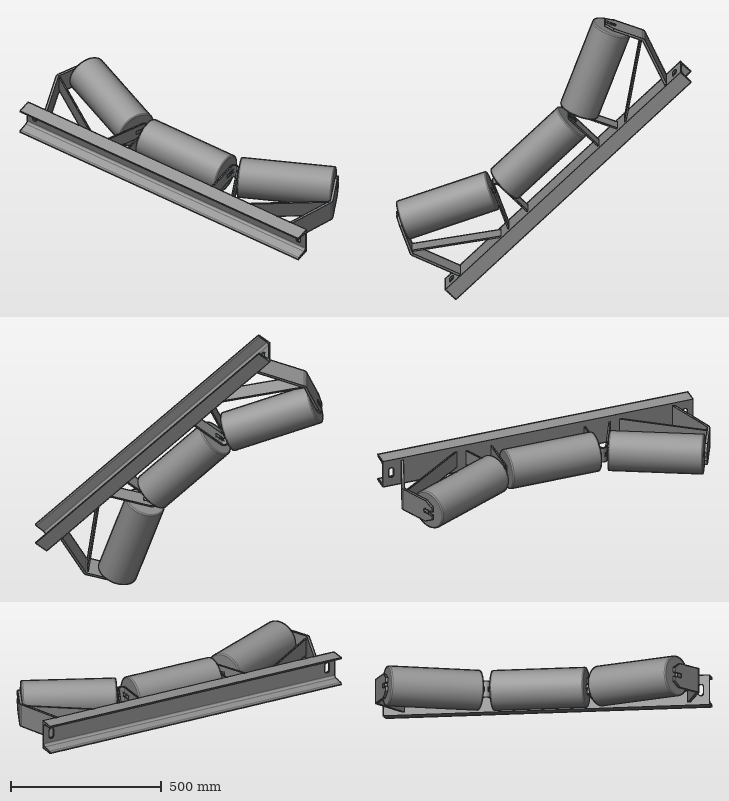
import cadquery as cq
import math

BEAM_LENGTH = 1100.0
BEAM_HEIGHT = 100.0
FLANGE_WIDTH = 50.0
WEB_THICKNESS = 6.0
FLANGE_THICKNESS = 8.5
FLANGE_TAPER = 0.08
ROOT_RADIUS = 8.5
TOE_RADIUS = 4.5
BOLT_SLOT_WIDTH = 18.0
BOLT_SLOT_LENGTH = 38.0
BOLT_SLOT_INSET = 29.0

ROLLER_DIAMETER = 133.0
ROLLER_LENGTH = 315.0
ROLLER_FILLET = 4.0
SHAFT_DIAMETER = 20.0
SHAFT_FLATS = 14.0
SHAFT_LENGTH = 336.0
TROUGH_ANGLE = 25.0
CENTER_ROLLER_Y = 115.5
SIDE_ROLLER_X = 346.0
SIDE_ROLLER_Y = 194.0

OUTER_WIDTH = 80.0
OUTER_PLATE = 8.0
OUTER_GAP = 4.0
OUTER_LEG_ANGLE = 20.0
OUTER_BEND_RADIUS = 17.0
OUTER_BEND_Y = 165.0
OUTER_TIP = 28.0
TIP_CHAMFER_LENGTH = 30.0
TIP_CHAMFER_WIDTH = 17.3
INNER_PLATE = 5.0
INNER_WIDTH = 54.0
INNER_BEND_RADIUS = 15.0
INNER_GAP = 5.5

STRUT_PLATE = 5.0
STRUT_WIDTH = 60.0
STRUT_ANGLE = 35.1

TROUGH = math.radians(TROUGH_ANGLE)

OUTER_FACE_ALONG = ROLLER_LENGTH / 2 + OUTER_GAP + OUTER_PLATE
OUTER_BEND_ALONG = OUTER_FACE_ALONG - OUTER_BEND_RADIUS
OUTER_BEND_OFFSET = (OUTER_BEND_ALONG - (OUTER_BEND_Y - SIDE_ROLLER_Y) * math.sin(TROUGH)) / math.cos(TROUGH)
OUTER_BEND = (SIDE_ROLLER_X + OUTER_BEND_OFFSET, OUTER_BEND_Y)

INNER_BEND_X = ROLLER_LENGTH / 2 + INNER_GAP + INNER_BEND_RADIUS
INNER_BEND = (
    INNER_BEND_X,
    SIDE_ROLLER_Y + (-INNER_BEND_X - (INNER_BEND_X - SIDE_ROLLER_X) * math.cos(TROUGH)) / math.sin(TROUGH),
)


def polar(center, radius, angle):
    """Point at a distance and an angle in degrees from a centre."""
    turn = math.radians(angle)
    return (center[0] + radius * math.cos(turn), center[1] + radius * math.sin(turn))


def down_to_beam(point, angle):
    """Follow a line through the point, at an angle in degrees, to the web face at Y = 0."""
    return (point[0] - point[1] / math.tan(math.radians(angle)), 0)


def place_on_side(body):
    """Move a body from the origin to the axis of the right-hand side roller."""
    tilted = body.rotate((0, 0, 0), (0, 0, 1), TROUGH_ANGLE)
    return tilted.translate((SIDE_ROLLER_X, SIDE_ROLLER_Y, 0))


def make_rod(diameter, length):
    """Round bar along X, centred on the origin."""
    return cq.Workplane("YZ", origin=(-length / 2, 0, 0)).circle(diameter / 2).extrude(length)


def make_beam():
    half = BEAM_HEIGHT / 2
    taper_drop = FLANGE_TAPER * FLANGE_WIDTH / 2
    toe = half - FLANGE_THICKNESS + taper_drop
    root = half - FLANGE_THICKNESS - taper_drop + FLANGE_TAPER * WEB_THICKNESS
    profile = [
        (0, -half),
        (-FLANGE_WIDTH, -half),
        (-FLANGE_WIDTH, -toe),
        (-WEB_THICKNESS, -root),
        (-WEB_THICKNESS, root),
        (-FLANGE_WIDTH, toe),
        (-FLANGE_WIDTH, half),
        (0, half),
    ]
    beam_end = cq.Workplane("YZ", origin=(-BEAM_LENGTH / 2, 0, 0))
    beam = beam_end.polyline(profile).close().extrude(BEAM_LENGTH)
    for side in (-1, 1):
        root_edge = cq.selectors.NearestToPointSelector((0, -WEB_THICKNESS, side * root))
        beam = beam.edges(root_edge).fillet(ROOT_RADIUS)
        toe_edge = cq.selectors.NearestToPointSelector((0, -FLANGE_WIDTH, side * toe))
        beam = beam.edges(toe_edge).fillet(TOE_RADIUS)
    slot_x = BEAM_LENGTH / 2 - BOLT_SLOT_INSET
    slots = (
        cq.Workplane("XZ")
        .pushPoints([(-slot_x, 0), (slot_x, 0)])
        .slot2D(BOLT_SLOT_LENGTH, BOLT_SLOT_WIDTH, 90)
        .extrude(WEB_THICKNESS)
    )
    return beam.cut(slots)


def make_roller():
    """Roller along X, centred on the origin, with flats on its shaft ends."""
    shell = make_rod(ROLLER_DIAMETER, ROLLER_LENGTH).edges("%CIRCLE").fillet(ROLLER_FILLET)
    shaft = make_rod(SHAFT_DIAMETER, SHAFT_LENGTH)
    flats = cq.Workplane("XY").box(SHAFT_LENGTH, SHAFT_DIAMETER, SHAFT_FLATS)
    return shell.union(shaft.intersect(flats))


def make_slot_cutter(depth):
    """Cutter along X that seats the shaft and opens upward over the given depth."""
    length = 2 * OUTER_FACE_ALONG
    seat = make_rod(SHAFT_DIAMETER, length)
    opening = cq.Workplane("XY").box(length, depth, SHAFT_DIAMETER).translate((0, depth / 2, 0))
    flats = cq.Workplane("XY").box(length, 2 * depth, SHAFT_FLATS)
    return seat.union(opening).intersect(flats)


def make_bent_plate(bend, radius, thickness, width, start_angle, end_angle, start_points, end_points):
    """Plate with one bend; the angles are those of the outside normals of its two legs.

    The start and end points are the (outside, inside) corners of the leg ends.
    """
    inside = radius - thickness
    middle = (start_angle + end_angle) / 2
    return (
        cq.Workplane("XY", origin=(0, 0, -width / 2))
        .moveTo(*start_points[0])
        .lineTo(*polar(bend, radius, start_angle))
        .threePointArc(polar(bend, radius, middle), polar(bend, radius, end_angle))
        .lineTo(*end_points[0])
        .lineTo(*end_points[1])
        .lineTo(*polar(bend, inside, end_angle))
        .threePointArc(polar(bend, inside, middle), polar(bend, inside, start_angle))
        .lineTo(*start_points[1])
        .close()
        .extrude(width)
    )


def make_outer_bracket():
    tip_run = (
        OUTER_TIP
        + (OUTER_BEND[0] - SIDE_ROLLER_X) * math.sin(TROUGH)
        - (OUTER_BEND[1] - SIDE_ROLLER_Y) * math.cos(TROUGH)
    )
    tips = []
    feet = []
    for radius in (OUTER_BEND_RADIUS, OUTER_BEND_RADIUS - OUTER_PLATE):
        tips.append(polar(polar(OUTER_BEND, radius, TROUGH_ANGLE), tip_run, TROUGH_ANGLE + 90))
        leg_start = polar(OUTER_BEND, radius, -OUTER_LEG_ANGLE)
        feet.append(down_to_beam(leg_start, 90 - OUTER_LEG_ANGLE))
    plate = make_bent_plate(
        OUTER_BEND, OUTER_BEND_RADIUS, OUTER_PLATE, OUTER_WIDTH,
        TROUGH_ANGLE, -OUTER_LEG_ANGLE, tips, feet,
    )
    half = OUTER_WIDTH / 2
    for side in (-1, 1):
        corner = [
            (OUTER_TIP, side * half),
            (OUTER_TIP - TIP_CHAMFER_LENGTH, side * half),
            (OUTER_TIP, side * (half - TIP_CHAMFER_WIDTH)),
        ]
        wedge = cq.Workplane("YZ").polyline(corner).close().extrude(OUTER_FACE_ALONG)
        plate = plate.cut(place_on_side(wedge))
    return plate.cut(place_on_side(make_slot_cutter(OUTER_TIP)))


def make_inner_bracket():
    """Arch with a sloped leg at the side roller and an upright leg at the centre roller."""
    sloped_feet = []
    upright_feet = []
    for radius in (INNER_BEND_RADIUS, INNER_BEND_RADIUS - INNER_PLATE):
        sloped_feet.append(down_to_beam(polar(INNER_BEND, radius, TROUGH_ANGLE), TROUGH_ANGLE + 90))
        upright_feet.append((INNER_BEND[0] - radius, 0))
    plate = make_bent_plate(
        INNER_BEND, INNER_BEND_RADIUS, INNER_PLATE, INNER_WIDTH,
        TROUGH_ANGLE, 180, sloped_feet, upright_feet,
    )
    slot_depth = INNER_BEND[1] + INNER_BEND_RADIUS - CENTER_ROLLER_Y
    center_slot = make_slot_cutter(slot_depth).translate((0, CENTER_ROLLER_Y, 0))
    side_slot = place_on_side(make_slot_cutter(slot_depth))
    return plate.cut(center_slot).cut(side_slot)


def make_strut(bracket):
    """Flat bar aimed at the centre of the bend and coped to the inside of the outer bracket."""
    top = polar(OUTER_BEND, OUTER_BEND_RADIUS - OUTER_PLATE / 2, STRUT_ANGLE)
    upper = polar(top, STRUT_PLATE / 2, STRUT_ANGLE + 90)
    lower = polar(top, STRUT_PLATE / 2, STRUT_ANGLE - 90)
    outline = [upper, lower, down_to_beam(lower, STRUT_ANGLE), down_to_beam(upper, STRUT_ANGLE)]
    bar_side = cq.Workplane("XY", origin=(0, 0, -STRUT_WIDTH / 2))
    return bar_side.polyline(outline).close().extrude(STRUT_WIDTH).cut(bracket)


beam = make_beam()
center_roller = make_roller().translate((0, CENTER_ROLLER_Y, 0))
side_roller = place_on_side(make_roller())
outer_bracket = make_outer_bracket()
inner_bracket = make_inner_bracket()
strut = make_strut(outer_bracket)

solids = [beam.val(), center_roller.val()]
for right_body in (side_roller, outer_bracket, inner_bracket, strut):
    solids.append(right_body.val())
    solids.append(right_body.mirror("YZ").val())

result = cq.Compound.makeCompound(solids)